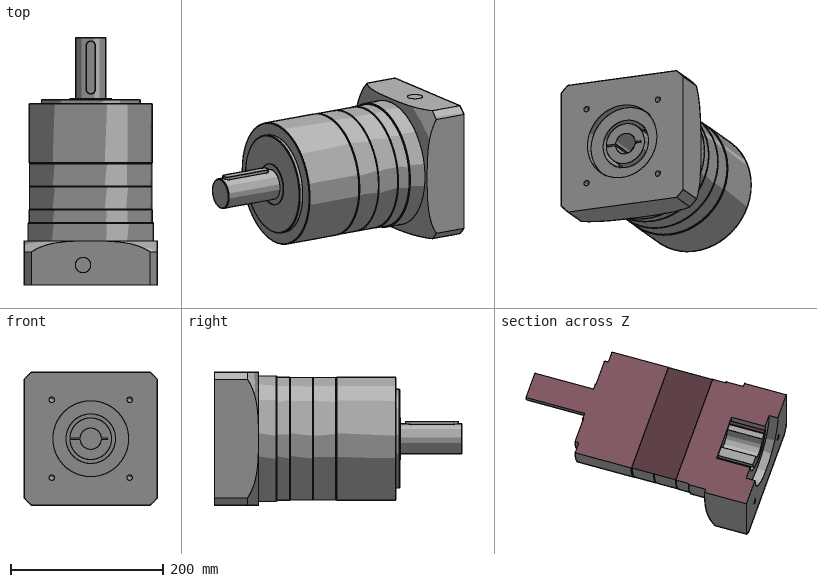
import cadquery as cq
import math

total_length = 325.5

adapter_plate_thickness = 58.3
boss_end = 82.0
input_neck_end = 99.3
ring_groove_station = 129.5
ring_end = 160.0
housing_end = 238.5
pilot_end = 243.8
collar_end = 244.8

housing_radius = 81.0
pilot_radius = 65.0
collar_radius = 27.5
shaft_radius = 20.0
edge_chamfer = 1.0

key_width = 12.0
key_length = 69.5
key_tip_gap = 5.0
key_rise = 3.0
key_sink = 5.0
key_chamfer = 0.3

ring_radius = 80.7
ring_groove_depth = 0.5

neck_radius = 81.0
boss_radius = 82.7
plate_side = 175.0
plate_corner_radius = 117.2
plate_back_drop = 14.5
recess_radius = 49.8
recess_depth = 12.0
pocket_radius = 32.5
mount_hole_radius = 3.5
mount_hole_spacing = 102.2
mount_hole_depth = 19.5
drill_tip_angle = 118.0

plug_radius = 10.0
plug_offset = -10.0
plug_station = 26.5
plug_depth = 9.8

hub_radius = 27.5
hub_face = 10.5
hub_bore_radius = 14.0
slit_width = 2.3
slit_end = 22.0


def turned(profile):
    """Revolve a closed (radius, station) outline around the Y axis."""
    return cq.Workplane("XY").polyline(profile).close().revolve(360, (0, 0, 0), (0, 1, 0))


def cylinder(radius, start, end):
    """Cylinder on the Y axis between two stations."""
    return cq.Workplane("XZ", origin=(0, start, 0)).circle(radius).extrude(start - end)


def make_key():
    """Round-ended key, sunk into the shaft and standing proud of it on the +Z side."""
    middle = total_length - key_tip_gap - key_length / 2
    floor = shaft_radius - key_sink
    return (
        cq.Workplane("XY", origin=(0, middle, floor))
        .slot2D(key_length, key_width, 90)
        .extrude(key_sink + key_rise)
        .faces(">Z")
        .chamfer(key_chamfer)
    )


def make_output_body(key):
    """Output housing with pilot, collar and shaft, and a keyway that fits the key."""
    c = edge_chamfer
    body = turned([
        (0, ring_end),
        (housing_radius - c, ring_end),
        (housing_radius, ring_end + c),
        (housing_radius, housing_end - c),
        (housing_radius - c, housing_end),
        (pilot_radius, housing_end),
        (pilot_radius, pilot_end - c),
        (pilot_radius - c, pilot_end),
        (collar_radius, pilot_end),
        (collar_radius, collar_end),
        (shaft_radius, collar_end),
        (shaft_radius, total_length - c),
        (shaft_radius - c, total_length),
        (0, total_length),
    ])
    return body.cut(key)


def make_ring_gear():
    """Ring gear body with chamfered ends and a V-groove around the middle."""
    c = edge_chamfer
    g = ring_groove_depth
    return turned([
        (0, input_neck_end),
        (ring_radius - g, input_neck_end),
        (ring_radius, input_neck_end + g),
        (ring_radius, ring_groove_station - g),
        (ring_radius - g, ring_groove_station),
        (ring_radius, ring_groove_station + g),
        (ring_radius, ring_end - c),
        (ring_radius - c, ring_end),
        (0, ring_end),
    ])


def make_adapter_plate():
    """Square plate whose corners are turned round and whose back rolls off in an arc from the boss."""
    square = (
        cq.Workplane("XZ")
        .rect(plate_side, plate_side)
        .extrude(-adapter_plate_thickness)
    )
    arc_width = plate_corner_radius - boss_radius
    arc_radius = (arc_width**2 + plate_back_drop**2) / (2 * plate_back_drop)
    half_angle = math.asin(arc_width / arc_radius) / 2
    arc_middle = (
        boss_radius + arc_radius * math.sin(half_angle),
        adapter_plate_thickness - arc_radius * (1 - math.cos(half_angle)),
    )
    envelope = (
        cq.Workplane("XY")
        .lineTo(plate_corner_radius, 0)
        .lineTo(plate_corner_radius, adapter_plate_thickness - plate_back_drop)
        .threePointArc(arc_middle, (boss_radius, adapter_plate_thickness))
        .lineTo(0, adapter_plate_thickness)
        .close()
        .revolve(360, (0, 0, 0), (0, 1, 0))
    )
    return square.intersect(envelope)


def make_mount_holes():
    """Four blind holes in the motor face, each with a conical drill tip."""
    tip_length = mount_hole_radius / math.tan(math.radians(drill_tip_angle / 2))
    hole = turned([
        (0, 0),
        (mount_hole_radius, 0),
        (mount_hole_radius, mount_hole_depth),
        (0, mount_hole_depth + tip_length),
    ])
    half = mount_hole_spacing / 2
    return [hole.translate((x, 0, z)) for x in (-half, half) for z in (-half, half)]


def make_input_body(plug):
    """Neck, boss and adapter plate with motor recess, hub pocket, mounting holes and plug seat."""
    c = edge_chamfer
    body = turned([
        (0, adapter_plate_thickness),
        (boss_radius, adapter_plate_thickness),
        (boss_radius, boss_end - c),
        (boss_radius - c, boss_end),
        (neck_radius, boss_end),
        (neck_radius, input_neck_end - ring_groove_depth),
        (neck_radius - ring_groove_depth, input_neck_end),
        (0, input_neck_end),
    ])
    body = body.union(make_adapter_plate())
    body = body.cut(cylinder(recess_radius, 0, recess_depth))
    body = body.cut(cylinder(pocket_radius, recess_depth, adapter_plate_thickness))
    for hole in make_mount_holes():
        body = body.cut(hole)
    return body.cut(plug)


def make_plug():
    """Plug flush with the +Z side of the adapter plate, closing the clamp screw access."""
    top = plate_side / 2
    return (
        cq.Workplane("XY", origin=(plug_offset, plug_station, top))
        .circle(plug_radius)
        .extrude(-plug_depth)
    )


def make_clamp_hub():
    """Bored hub on the pocket floor, slit right through on -X and part way on +X."""
    hub = cylinder(hub_radius, hub_face, adapter_plate_thickness)
    hub = hub.cut(cylinder(hub_bore_radius, hub_face, adapter_plate_thickness))
    slit = cq.Workplane("XY").box(
        hub_radius + slit_end, adapter_plate_thickness, slit_width, centered=(False, False, True)
    )
    return hub.cut(slit.translate((-hub_radius, 0, 0)))


key = make_key()
plug = make_plug()
output_body = make_output_body(key)
ring_gear = make_ring_gear()
input_body = make_input_body(plug)
clamp_hub = make_clamp_hub()

result = cq.Compound.makeCompound([
    output_body.val(),
    key.val(),
    ring_gear.val(),
    input_body.val(),
    plug.val(),
    clamp_hub.val(),
])